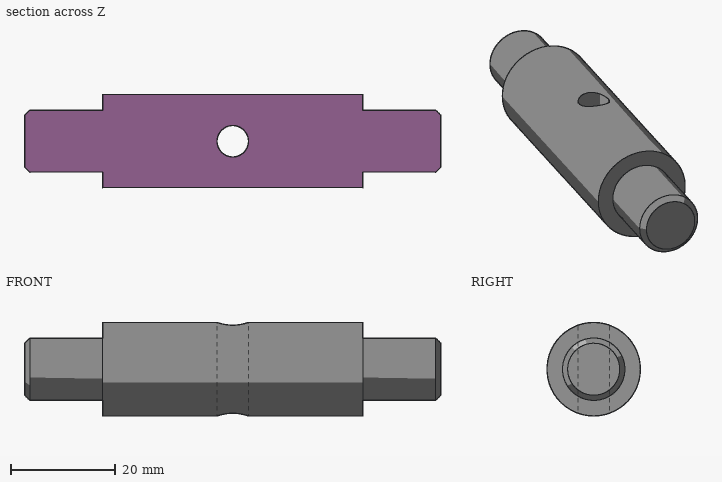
import cadquery as cq

total_length = 80.0
body_length = 50.0
body_diameter = 18.0
journal_diameter = 12.0
end_chamfer = 1.0
cross_hole_diameter = 6.0


def cylinder_along_x(diameter, length):
    """Solid cylinder on the X axis, centred on the origin."""
    return cq.Workplane("YZ").circle(diameter / 2).extrude(length / 2, both=True)


def cross_hole():
    """Cutter for the vertical hole through the middle of the body."""
    return cq.Workplane("XY").circle(cross_hole_diameter / 2).extrude(body_diameter, both=True)


journals = cylinder_along_x(journal_diameter, total_length).faces("<X or >X").chamfer(end_chamfer)
body = cylinder_along_x(body_diameter, body_length)

result = body.union(journals).cut(cross_hole())